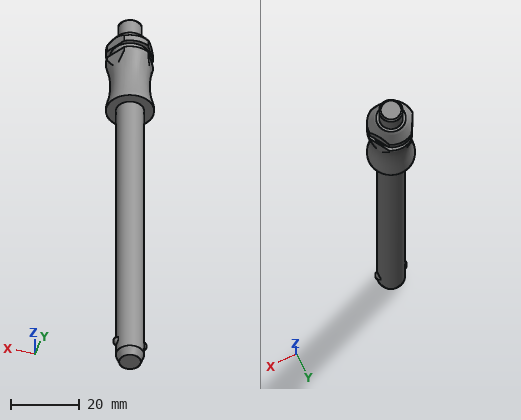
import cadquery as cq
import math

length = 131.3
tip_height = 2.8
ball_height = 7.1
handle_bottom = 98.2
rim_height = 1.2
groove_bottom = 117.3
groove_top = 119.6
collar_top = 121.7
shoulder_top = 124.5
neck_top = 125.1
button_chamfer = 0.5

tip_radius = 3.2
shank_radius = 8.3 / 2
handle_radius = 14.0 / 2
waist_radius = 5.8
shoulder_radius = 5.0
neck_radius = 4.3
button_radius = 7.0 / 2

ball_radius = 1.3
ball_reach = 10.1 / 2

flat_count = 3
flat_width = 6.8
flat_distance = math.sqrt(handle_radius**2 - (flat_width / 2) ** 2)

grip_bottom = handle_bottom + rim_height
grip_top = groove_bottom - rim_height
waist_height = (grip_bottom + grip_top) / 2

grip_rise = (grip_top - grip_bottom) / 2
waist_depth = handle_radius - waist_radius
grip_radius = (grip_rise**2 + waist_depth**2) / (2 * waist_depth)


def turned_body():
    """Revolve the half profile of the shank, handle and button."""
    profile = (
        cq.Workplane("XZ")
        .moveTo(0, 0)
        .lineTo(tip_radius, 0)
        .lineTo(shank_radius, tip_height)
        .lineTo(shank_radius, handle_bottom)
        .lineTo(handle_radius, handle_bottom)
        .lineTo(handle_radius, grip_bottom)
        .radiusArc((waist_radius, waist_height), grip_radius)
        .radiusArc((handle_radius, grip_top), grip_radius)
        .lineTo(handle_radius, groove_bottom)
        .lineTo(waist_radius, groove_bottom)
        .lineTo(waist_radius, groove_top)
        .lineTo(handle_radius, groove_top)
        .lineTo(handle_radius, collar_top)
        .lineTo(shoulder_radius, shoulder_top)
        .lineTo(neck_radius, neck_top)
        .lineTo(button_radius, neck_top)
        .lineTo(button_radius, length - button_chamfer)
        .lineTo(button_radius - button_chamfer, length)
        .lineTo(0, length)
        .close()
    )
    return profile.revolve(360, (0, 0), (0, 1))


def flat_cutter(angle):
    """Block that shaves the upper handle down to one flat, turned about the axis from -Y."""
    block = cq.Workplane("XY").box(
        2 * handle_radius,
        handle_radius,
        neck_top - waist_height,
        centered=(True, True, False),
    )
    block = block.translate((0, -flat_distance - handle_radius / 2, waist_height))
    return block.rotate((0, 0, 0), (0, 0, 1), angle)


result = turned_body()

for index in range(flat_count):
    result = result.cut(flat_cutter(index * 360 / flat_count))

ball_offset = ball_reach - ball_radius
for side in (-1, 1):
    ball = cq.Workplane("XY").sphere(ball_radius)
    result = result.union(ball.translate((side * ball_offset, 0, ball_height)))